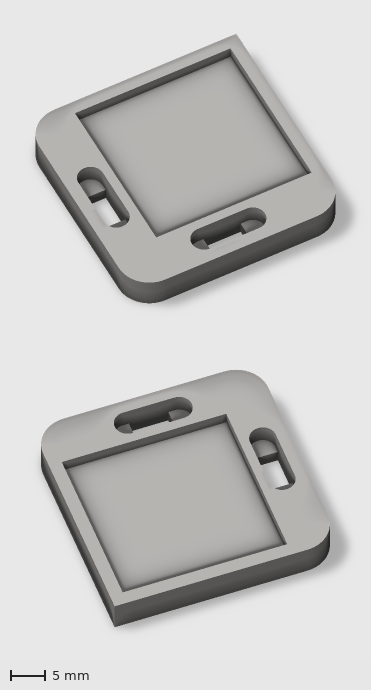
import cadquery as cq

side = 35.0
thickness = 5.0
corner_radius = 5.0

pocket_side = 25.6
pocket_wall = 2.0
pocket_depth = 2.0

slot_length = 12.0
slot_width = 4.0
slot_edge_distance = 4.0
slot_depth = 3.0
window_length = 6.12

half_side = side / 2
slot_offset = half_side - slot_edge_distance


def make_plate():
    """Square plate with every corner rounded except the one at -X, +Y."""
    plate = cq.Workplane("XY").box(side, side, thickness, centered=(True, True, False))
    return plate.edges("|Z and (>X or <Y)").fillet(corner_radius)


def make_pocket():
    centre = half_side - pocket_wall - pocket_side / 2
    return (
        cq.Workplane("XY", origin=(-centre, centre, thickness))
        .rect(pocket_side, pocket_side)
        .extrude(-pocket_depth)
    )


def make_slot(x, y, angle):
    """Stepped slot centred at (x, y), its length turned by angle from +X."""
    recess = (
        cq.Workplane("XY", origin=(0, 0, thickness))
        .slot2D(slot_length, slot_width)
        .extrude(-slot_depth)
    )
    window = cq.Workplane("XY").rect(window_length, slot_width).extrude(thickness)
    return recess.union(window).rotate((0, 0, 0), (0, 0, 1), angle).translate((x, y, 0))


result = (
    make_plate()
    .cut(make_pocket())
    .cut(make_slot(0, -slot_offset, 0))
    .cut(make_slot(slot_offset, 0, 90))
)